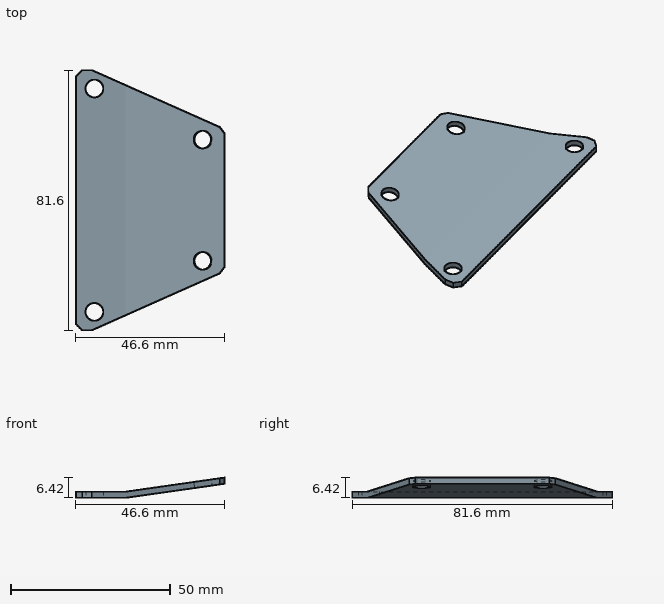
import cadquery as cq
import math

length_x = 46.6
width_y = 81.6
height_z = 6.42
thickness = 2.0

bend_x = 15.6
slope_run = length_x - bend_x
rise = height_z - thickness
slope_angle = math.degrees(math.atan2(rise, slope_run))

half_width = width_y / 2
wide_chamfer = 2.0
taper_start_x = 5.0
narrow_half_width = 20.95
narrow_chamfer_x = 1.5
narrow_chamfer_y = 2.0

hole_diameter = 5.5
flat_hole_x = 5.8
flat_hole_spacing = 70.0
slope_hole_x = 39.75
slope_hole_spacing = 38.0
drill_length = 4 * thickness


def bent_sheet():
    """Full-width bent strip with a vertical end face on the raised edge."""
    return (
        cq.Workplane("XZ")
        .moveTo(0, 0)
        .lineTo(bend_x, 0)
        .lineTo(length_x, rise)
        .lineTo(length_x, height_z)
        .lineTo(bend_x, thickness)
        .lineTo(0, thickness)
        .close()
        .extrude(half_width, both=True)
    )


def plan_outline():
    """Tapered plan shape with cut corners, as a vertical prism."""
    upper_side = [
        (0, half_width - wide_chamfer),
        (wide_chamfer, half_width),
        (taper_start_x, half_width),
        (length_x - narrow_chamfer_x, narrow_half_width + narrow_chamfer_y),
        (length_x, narrow_half_width),
    ]
    lower_side = [(x, -y) for x, y in reversed(upper_side)]
    return cq.Workplane("XY").polyline(upper_side + lower_side).close().extrude(height_z)


def hole_pair(x, z, spacing, tilt):
    """Two drill cylinders square to the sheet, centred at height z on the sheet mid-plane."""
    return (
        cq.Workplane("XY", origin=(x, 0, z))
        .transformed(rotate=(0, -tilt, 0))
        .pushPoints([(0, -spacing / 2), (0, spacing / 2)])
        .circle(hole_diameter / 2)
        .extrude(drill_length / 2, both=True)
    )


mid_thickness = thickness / 2
slope_hole_z = mid_thickness + rise * (slope_hole_x - bend_x) / slope_run

result = (
    bent_sheet()
    .intersect(plan_outline())
    .cut(hole_pair(flat_hole_x, mid_thickness, flat_hole_spacing, 0))
    .cut(hole_pair(slope_hole_x, slope_hole_z, slope_hole_spacing, slope_angle))
)